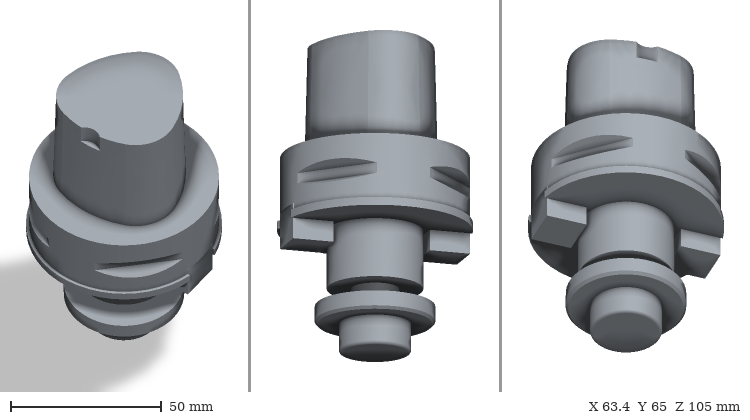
import cadquery as cq
import math

total_height = 105.0
flange_top = 67.0
rim_top = 44.7
flange_bottom = 42.0
spigot_bottom = 22.0
washer_top = 16.1
washer_bottom = 10.0

flange_diameter = 63.0
rim_diameter = 65.0
spigot_diameter = 32.0
neck_diameter = 16.0
washer_diameter = 40.0
head_diameter = 23.9
washer_chamfer = 0.9
head_fillet = 1.0

lobe_peak = 23.5
side_reach = 20.5
lobe_radius = 14.6
shank_taper = math.degrees(math.atan(1 / 40))

notch_diameter = 10.4
notch_depth = 6.5
notch_back = 17.7

groove_count = 4
groove_floor_radius = 27.8
groove_floor_width = 3.5
groove_center_z = 55.1
groove_wall_angle = 30.0

key_width = 14.3
key_outer = 30.9
key_inner = 16.8
key_top = 47.0
key_bottom = 35.0


def cylinder(diameter, bottom, top):
    return cq.Workplane("XY").workplane(offset=bottom).circle(diameter / 2).extrude(top - bottom)


def make_turned_body():
    """Flange, rim, spigot, neck, clamping washer and screw head."""
    flange = cylinder(flange_diameter, flange_bottom, flange_top)
    rim = cylinder(rim_diameter, flange_bottom, rim_top)
    spigot = cylinder(spigot_diameter, spigot_bottom, flange_bottom)
    neck = cylinder(neck_diameter, washer_top, spigot_bottom)
    washer = cylinder(washer_diameter, washer_bottom, washer_top)
    washer = washer.faces("<Z").edges().chamfer(washer_chamfer)
    head = cylinder(head_diameter, 0, washer_bottom).faces("<Z").edges().fillet(head_fillet)
    return flange.union(rim).union(spigot).union(neck).union(washer).union(head)


def polar(radius, degrees):
    angle = math.radians(degrees)
    return (radius * math.cos(angle), radius * math.sin(angle))


def make_shank():
    """Tapered shank: three lobe arcs joined tangentially by three flatter arcs."""
    lobe_offset = lobe_peak - lobe_radius
    inner_reach = side_reach - lobe_radius
    side_offset = (lobe_offset**2 - inner_reach**2) / (2 * inner_reach - lobe_offset)
    side_radius = side_offset + side_reach
    lobe_center = (lobe_offset, 0)
    side_center = polar(-side_offset, 60)
    ratio = side_radius / (side_radius - lobe_radius)
    seam_x = side_center[0] + ratio * (lobe_center[0] - side_center[0])
    seam_y = side_center[1] + ratio * (lobe_center[1] - side_center[1])
    seam_reach = math.hypot(seam_x, seam_y)
    seam_angle = math.degrees(math.atan2(seam_y, seam_x))

    peaks = (90, 210, 330)
    outline = cq.Workplane("XY").workplane(offset=flange_top)
    outline = outline.moveTo(*polar(seam_reach, peaks[0] - seam_angle))
    for peak in peaks:
        outline = outline.threePointArc(polar(lobe_peak, peak), polar(seam_reach, peak + seam_angle))
        outline = outline.threePointArc(
            polar(side_reach, peak + 60), polar(seam_reach, peak + 120 - seam_angle)
        )
    shank = outline.close().extrude(total_height - flange_top, taper=shank_taper)
    notch = cylinder(notch_diameter, total_height - notch_depth, total_height)
    return shank.cut(notch.translate((0, -notch_back - notch_diameter / 2, 0)))


def make_groove():
    """Straight trapezoidal groove along Y, opening outward in +X."""
    mouth_radius = flange_diameter / 2 + 1
    floor_half = groove_floor_width / 2
    wall_rise = (mouth_radius - groove_floor_radius) * math.tan(math.radians(groove_wall_angle))
    mouth_half = floor_half + wall_rise
    return (
        cq.Workplane("XZ")
        .polyline([
            (groove_floor_radius, groove_center_z - floor_half),
            (mouth_radius, groove_center_z - mouth_half),
            (mouth_radius, groove_center_z + mouth_half),
            (groove_floor_radius, groove_center_z + floor_half),
        ])
        .close()
        .extrude(flange_diameter / 2, both=True)
    )


def side_block(inner, outer, bottom, top):
    """Block of key width on the +X side."""
    block = cq.Workplane("XY").box(outer - inner, key_width, top - bottom)
    return block.translate(((inner + outer) / 2, 0, (bottom + top) / 2))


result = make_turned_body().union(make_shank())

for index in range(groove_count):
    angle = 45 + index * 360 / groove_count
    result = result.cut(make_groove().rotate((0, 0, 0), (0, 0, 1), angle))

key_slot = side_block(key_outer, rim_diameter, flange_bottom, key_top)
key = side_block(key_inner, key_outer, key_bottom, key_top)
for angle in (0, 180):
    result = result.cut(key_slot.rotate((0, 0, 0), (0, 0, 1), angle))
    result = result.union(key.rotate((0, 0, 0), (0, 0, 1), angle))